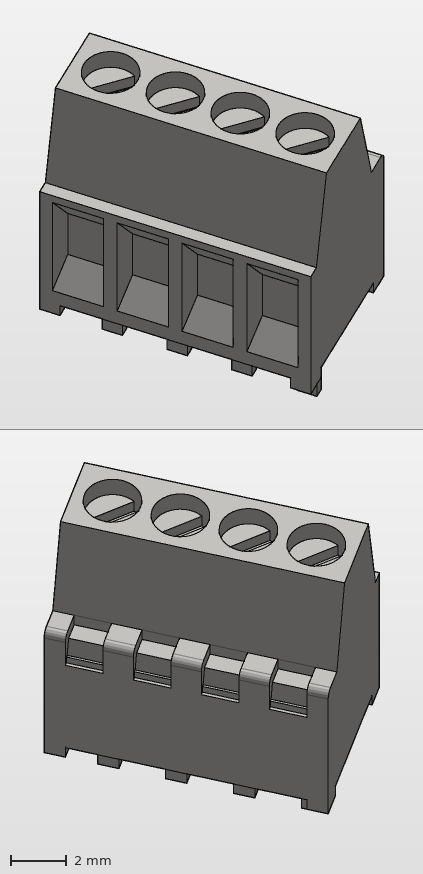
import cadquery as cq

pole_count = 4
pitch = 2.54
body_width = 10.62
body_depth = 6.5
body_height = 10.0

front_y = -body_depth / 2
back_y = body_depth / 2
front_ledge_depth = 0.5
front_ledge_z = 6.0
back_ledge_depth = 1.1
back_ledge_z = 6.33
top_setback = 1.4
top_depth = 3.02
top_front_y = front_y + top_setback
top_back_y = top_front_y + top_depth
back_edge_radius = 0.3

foot_height = 0.5
foot_width = 0.8
foot_depth = 0.93

pin_width = 0.8
pin_thickness = 0.4
pin_length = 3.4

entry_width = 2.0
entry_bottom_z = 1.15
entry_top_z = 5.65
entry_depth = 0.8
throat_width = 1.5
throat_bottom_z = 2.36
throat_top_z = 4.45

well_diameter = 2.1
well_depth = 0.8
slot_width = 0.5
slot_depth = 0.5
slot_angle = 45
well_y = (top_front_y + top_back_y) / 2

notch_width = 1.4
notch_floor_depth = 0.5
notch_slope_height = 0.7
notch_slope_run = 0.19
notch_step_height = 0.3
notch_upper_tread = 0.09
notch_lower_tread = 0.13

pole_positions = [(i - (pole_count - 1) / 2) * pitch for i in range(pole_count)]


def extrude_along_x(points, width, x_center):
    """Extrude a closed (Y, Z) outline, centred on x_center."""
    plane = cq.Workplane("YZ", origin=(x_center, 0, 0))
    return plane.polyline(points).close().extrude(width / 2, both=True)


def make_body():
    outline = [
        (front_y, 0),
        (back_y, 0),
        (back_y, back_ledge_z),
        (back_y - back_ledge_depth, back_ledge_z),
        (top_back_y, body_height),
        (top_front_y, body_height),
        (front_y + front_ledge_depth, front_ledge_z),
        (front_y, front_ledge_z),
    ]
    body = extrude_along_x(outline, body_width, 0)
    back_edge = cq.selectors.NearestToPointSelector((0, back_y, back_ledge_z))
    return body.edges(back_edge).fillet(back_edge_radius)


def make_underside_relief():
    """Cross-shaped recess that leaves a foot at each corner."""
    lengthwise = cq.Workplane("XY").rect(body_width, body_depth - 2 * foot_depth).extrude(foot_height)
    crosswise = cq.Workplane("XY").rect(body_width - 2 * foot_width, body_depth).extrude(foot_height)
    return lengthwise.union(crosswise)


def make_wire_entry(x):
    mouth_z = (entry_bottom_z + entry_top_z) / 2
    throat_z = (throat_bottom_z + throat_top_z) / 2
    return (
        cq.Workplane("XZ", origin=(x, front_y, mouth_z))
        .rect(entry_width, entry_top_z - entry_bottom_z)
        .workplane(offset=-entry_depth)
        .center(0, throat_z - mouth_z)
        .rect(throat_width, throat_top_z - throat_bottom_z)
        .loft(ruled=True)
    )


def make_screw_well(x):
    floor_z = body_height - well_depth
    floor_plane = cq.Workplane("XY", origin=(x, well_y, floor_z))
    well = floor_plane.circle(well_diameter / 2).extrude(well_depth)
    slot_round = floor_plane.circle(well_diameter / 2).extrude(-slot_depth)
    slot_bar = (
        floor_plane.transformed(rotate=(0, 0, slot_angle))
        .rect(well_diameter * 2, slot_width)
        .extrude(-slot_depth)
    )
    return well.union(slot_round.intersect(slot_bar))


def make_back_notch(x):
    floor_z = back_ledge_z - notch_floor_depth
    slope_bottom_z = floor_z - notch_slope_height
    step_bottom_z = slope_bottom_z - notch_step_height
    ledge_inner_y = back_y - back_ledge_depth
    step_y = back_y - notch_lower_tread
    slope_bottom_y = step_y - notch_upper_tread
    slope_top_y = slope_bottom_y - notch_slope_run
    outline = [
        (ledge_inner_y, back_ledge_z),
        (ledge_inner_y, floor_z),
        (slope_top_y, floor_z),
        (slope_bottom_y, slope_bottom_z),
        (step_y, slope_bottom_z),
        (step_y, step_bottom_z),
        (back_y, step_bottom_z),
        (back_y, back_ledge_z),
    ]
    return extrude_along_x(outline, notch_width, x)


def make_pin(x):
    plane = cq.Workplane("XY", origin=(x, 0, foot_height))
    return plane.rect(pin_width, pin_thickness).extrude(-(foot_height + pin_length))


result = make_body().cut(make_underside_relief())
for pole_x in pole_positions:
    result = result.cut(make_wire_entry(pole_x))
    result = result.cut(make_screw_well(pole_x))
    result = result.cut(make_back_notch(pole_x))
    result = result.union(make_pin(pole_x))